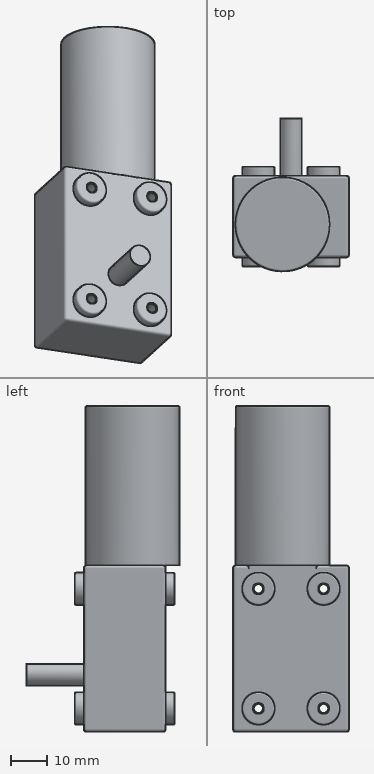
import cadquery as cq

housing_width = 32.0
housing_depth = 22.6
total_height = 90.0
housing_height = 46.0
housing_edge = 0.8
front_face = -housing_depth / 2
back_face = housing_depth / 2

motor_diameter = 26.0
motor_radius = motor_diameter / 2
motor_overhang = 3.9
motor_length = total_height - housing_height
motor_rim = 0.5
motor_x = -2.3
motor_y = front_face - motor_overhang + motor_radius

shaft_diameter = 6.0
shaft_length = 15.8
shaft_height = 15.75

boss_diameter = 9.0
boss_length = 2.5
boss_rim = 0.5
boss_spacing_x = 18.0
boss_spacing_z = 33.0
hole_diameter = 2.5
hole_countersink = 0.3


def cylinder(diameter, length, base, direction):
    """Solid cylinder growing from the base point along the direction."""
    return cq.Workplane(
        cq.Solid.makeCylinder(diameter / 2, length, cq.Vector(*base), cq.Vector(*direction))
    )


def make_housing():
    """Softened block whose edges stay sharp underneath the motor."""
    block = cq.Workplane("XY").box(
        housing_width, housing_depth, housing_height, centered=(True, True, False)
    )
    motor_seat = cylinder(
        motor_diameter, housing_edge, (motor_x, motor_y, housing_height - housing_edge), (0, 0, 1)
    )
    return block.edges().fillet(housing_edge).union(block.intersect(motor_seat))


def make_motor():
    can = cylinder(motor_diameter, motor_length, (motor_x, motor_y, housing_height), (0, 0, 1))
    return can.faces(">Z").edges().fillet(motor_rim)


def make_boss(x, z, face_y, outward):
    """Round boss on the face at face_y; outward is -1 for front, +1 for back."""
    boss = cylinder(boss_diameter, boss_length, (x, face_y, z), (0, outward, 0))
    outer_face = ">Y" if outward > 0 else "<Y"
    return boss.faces(outer_face).edges().fillet(boss_rim)


def make_hole_cutter(x, z):
    """Through hole along Y, widened by a small countersink at each end."""
    start = front_face - boss_length
    end = back_face + boss_length
    mouth_radius = hole_diameter / 2 + hole_countersink
    cutter = cylinder(hole_diameter, end - start, (x, start, z), (0, 1, 0))
    for end_y, inward in ((start, 1), (end, -1)):
        countersink = cq.Solid.makeCone(
            mouth_radius, hole_diameter / 2, hole_countersink, cq.Vector(x, end_y, z), cq.Vector(0, inward, 0)
        )
        cutter = cutter.union(cq.Workplane(countersink))
    return cutter


result = make_housing().union(make_motor())
result = result.union(cylinder(shaft_diameter, shaft_length, (0, back_face, shaft_height), (0, 1, 0)))

for side in (-1, 1):
    for level in (-1, 1):
        x = side * boss_spacing_x / 2
        z = housing_height / 2 + level * boss_spacing_z / 2
        result = result.union(make_boss(x, z, front_face, -1))
        result = result.union(make_boss(x, z, back_face, 1))
        result = result.cut(make_hole_cutter(x, z))